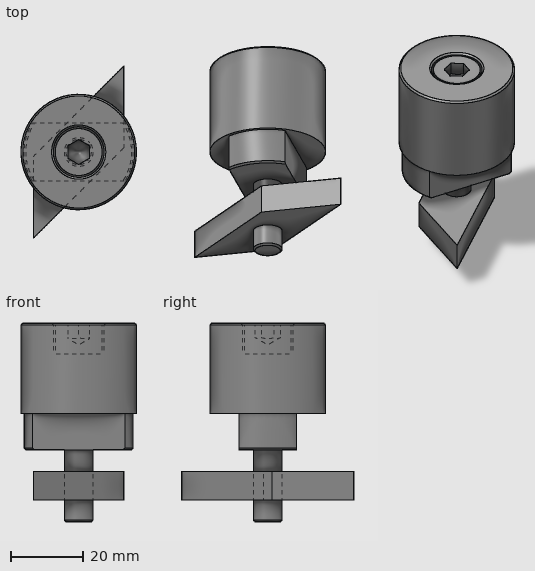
import cadquery as cq
import math

total_height = 55.0
chamfer = 0.5

body_diameter = 32.0
body_height = 25.0
tongue_diameter = 30.25
tongue_width = 16.0
tongue_height = 10.0
body_bottom = total_height - body_height
tongue_bottom = body_bottom - tongue_height

shank_diameter = 8.0
head_diameter = 13.0
head_height = 8.0
head_recess = chamfer
head_top = total_height - head_recess
head_bottom = head_top - head_height
socket_across_flats = 6.0
socket_depth = 3.5
socket_tip_angle = 120.0

counterbore_diameter = 14.0

plate_bottom = 6.0
plate_thickness = 8.0
plate_width_x = 25.0
plate_slant_width = tongue_width


def cylinder(diameter, bottom, top):
    return cq.Workplane("XY").workplane(offset=bottom).circle(diameter / 2).extrude(top - bottom)


def make_tongue():
    """Round disc chamfered at its lower rim, then cut to two parallel flats."""
    disc = cylinder(tongue_diameter, tongue_bottom, body_bottom).faces("<Z").chamfer(chamfer)
    slab = (
        cq.Workplane("XY")
        .workplane(offset=tongue_bottom)
        .rect(tongue_diameter, tongue_width)
        .extrude(tongue_height)
    )
    return disc.intersect(slab)


def make_socket():
    """Hexagonal socket with two sides parallel to Y and a conical drill tip at its floor."""
    across_corners = socket_across_flats / math.cos(math.radians(30))
    floor = head_top - socket_depth
    hexagon = (
        cq.Workplane("XY")
        .workplane(offset=floor)
        .transformed(rotate=(0, 0, 90))
        .polygon(6, across_corners)
        .extrude(socket_depth)
    )
    tip_radius = across_corners / 2
    tip_depth = tip_radius / math.tan(math.radians(socket_tip_angle / 2))
    cone = cq.Workplane(
        cq.Solid.makeCone(tip_radius, 0, tip_depth, pnt=cq.Vector(0, 0, floor), dir=cq.Vector(0, 0, -1))
    )
    hex_column = hexagon.translate((0, 0, -socket_depth))
    return hexagon.union(cone.intersect(hex_column))


def make_plate_outline():
    """Parallelogram with two sides along Y and two sides at 45 degrees."""
    half_x = plate_width_x / 2
    half_side = plate_slant_width * math.sqrt(2) / 2
    return (
        cq.Workplane("XY")
        .workplane(offset=plate_bottom)
        .polyline([
            (-half_x, -half_x - half_side),
            (half_x, half_x - half_side),
            (half_x, half_x + half_side),
            (-half_x, -half_x + half_side),
        ])
        .close()
        .extrude(plate_thickness)
    )


def make_nut_plate():
    """Parallelogram plate with a round hole that fits the shank."""
    plate_top = plate_bottom + plate_thickness
    return make_plate_outline().cut(cylinder(shank_diameter, plate_bottom, plate_top))


def make_clamp():
    """Body and tongue in one piece with the shank, with a moat around the socket head at the top."""
    body = cylinder(body_diameter, body_bottom, total_height).faces(">Z").chamfer(chamfer)
    counterbore = cylinder(counterbore_diameter, head_bottom, total_height)
    clamp = body.union(make_tongue()).cut(counterbore)
    inner_rim = cq.selectors.RadiusNthSelector(0)
    clamp = clamp.faces(">Z").edges(inner_rim).chamfer(chamfer)
    shank = cylinder(shank_diameter, 0, tongue_bottom).faces("<Z").chamfer(chamfer)
    head = cylinder(head_diameter, head_bottom, head_top)
    return clamp.union(shank).union(head).cut(make_socket())


clamp = make_clamp()
nut_plate = make_nut_plate()

result = cq.Compound.makeCompound([clamp.val(), nut_plate.val()])